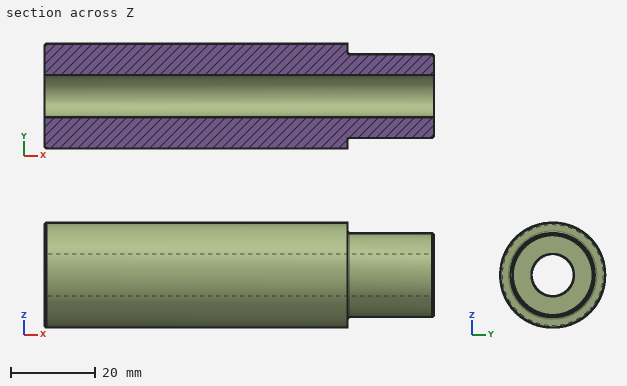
import cadquery as cq

total_length = 92.5
body_length = 72.0
body_diameter = 25.0
spigot_diameter = 20.0
bore_diameter = 10.0

edge_chamfer = 0.5
root_fillet = 0.5

body_radius = body_diameter / 2
spigot_radius = spigot_diameter / 2

profile = (
    cq.Workplane("XY")
    .moveTo(0, 0)
    .lineTo(0, body_radius - edge_chamfer)
    .lineTo(edge_chamfer, body_radius)
    .lineTo(body_length, body_radius)
    .lineTo(body_length, spigot_radius + root_fillet)
    .radiusArc((body_length + root_fillet, spigot_radius), -root_fillet)
    .lineTo(total_length - edge_chamfer, spigot_radius)
    .lineTo(total_length, spigot_radius - edge_chamfer)
    .lineTo(total_length, 0)
    .close()
)
turned_shape = profile.revolve(360, (0, 0, 0), (1, 0, 0))

bore = cq.Workplane("YZ").circle(bore_diameter / 2).extrude(total_length)

result = turned_shape.cut(bore)